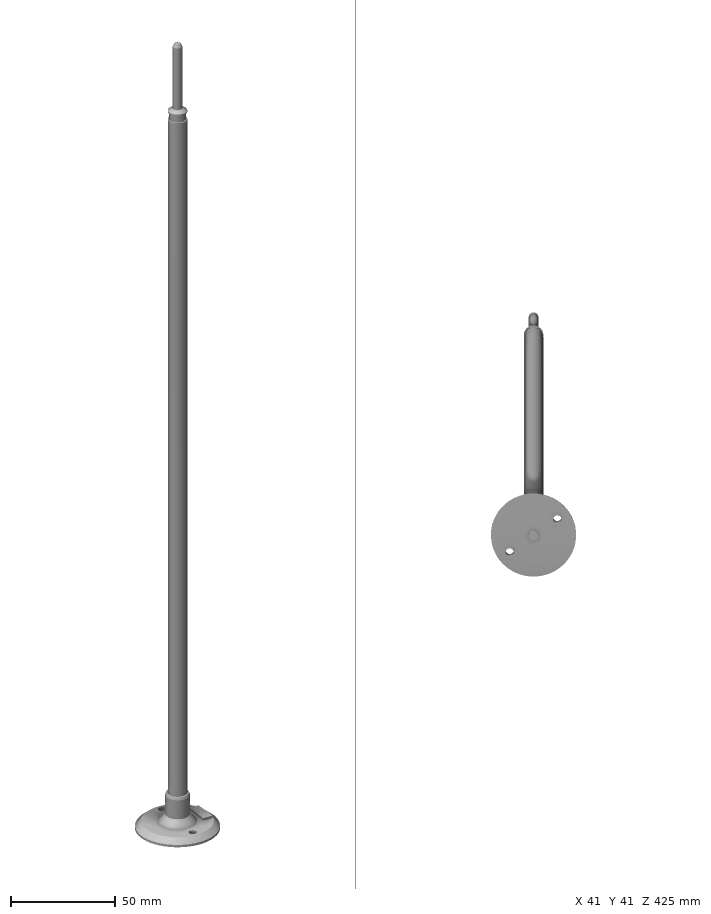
import cadquery as cq

total_height = 425.0
rod_diameter = 4.5
rod_chamfer = 1.0
rod_chamfer_height = 1.5

flange_diameter = 41.0
flange_bottom = 1.3
flange_rim_top = 2.5
flange_top = 5.0
flange_face_diameter = 35.0
cone_diameter = 18.5
collar_diameter = 12.0
collar_bottom = 9.0
collar_top = 20.5
collar_chamfer = 0.5
collar_chamfer_height = 1.3

hole_diameter = 4.0
foot_diameter = 4.5
hole_offset = 14.0

block_length = 12.8
block_width = 5.0
block_offset = 13.0
block_height = 1.3

tube_diameter = 9.5
tube_top = 390.0
lip_bottom = 388.0
lip_chamfer = 1.5
lip_chamfer_height = 1.3
groove_bottom = 384.0
groove_diameter = 8.0


def cylinder(diameter, bottom, top):
    return cq.Workplane("XY").workplane(offset=bottom).circle(diameter / 2).extrude(top - bottom)


def revolved(profile):
    """Solid of revolution about Z from (radius, height) points."""
    return cq.Workplane("XZ").polyline(profile).close().revolve(360, (0, 0, 0), (0, 1, 0))


def make_flange_and_collar():
    flange_radius = flange_diameter / 2
    collar_radius = collar_diameter / 2
    return revolved([
        (0, flange_bottom),
        (flange_radius, flange_bottom),
        (flange_radius, flange_rim_top),
        (flange_face_diameter / 2, flange_top),
        (cone_diameter / 2, flange_top),
        (collar_radius, collar_bottom),
        (collar_radius, collar_top - collar_chamfer_height),
        (collar_radius - collar_chamfer, collar_top),
        (0, collar_top),
    ])


def make_block():
    return (
        cq.Workplane("XY")
        .workplane(offset=flange_bottom)
        .center(0, block_offset)
        .rect(block_length, block_width)
        .extrude(flange_top + block_height - flange_bottom)
    )


def make_base():
    base = make_flange_and_collar().union(make_block())
    for x in (-hole_offset, hole_offset):
        foot = cylinder(foot_diameter, 0, flange_bottom)
        hole = cylinder(hole_diameter, 0, flange_top)
        base = base.union(foot.translate((x, 0, 0))).cut(hole.translate((x, 0, 0)))
    tube_seat = cylinder(tube_diameter, flange_top, collar_top)
    rod_hole = cylinder(rod_diameter, flange_bottom, flange_top)
    return base.cut(tube_seat).cut(rod_hole)


def make_tube():
    tube_radius = tube_diameter / 2
    groove_radius = groove_diameter / 2
    bore_radius = rod_diameter / 2
    return revolved([
        (bore_radius, flange_top),
        (tube_radius, flange_top),
        (tube_radius, groove_bottom),
        (groove_radius, groove_bottom),
        (groove_radius, lip_bottom),
        (tube_radius, lip_bottom),
        (tube_radius, tube_top - lip_chamfer_height),
        (tube_radius - lip_chamfer, tube_top),
        (bore_radius, tube_top),
    ])


def make_rod():
    rod_radius = rod_diameter / 2
    return revolved([
        (0, 0),
        (rod_radius, 0),
        (rod_radius, total_height - rod_chamfer_height),
        (rod_radius - rod_chamfer, total_height),
        (0, total_height),
    ])


base = make_base()
tube = make_tube()
rod = make_rod()

result = cq.Compound.makeCompound([base.val(), tube.val(), rod.val()])